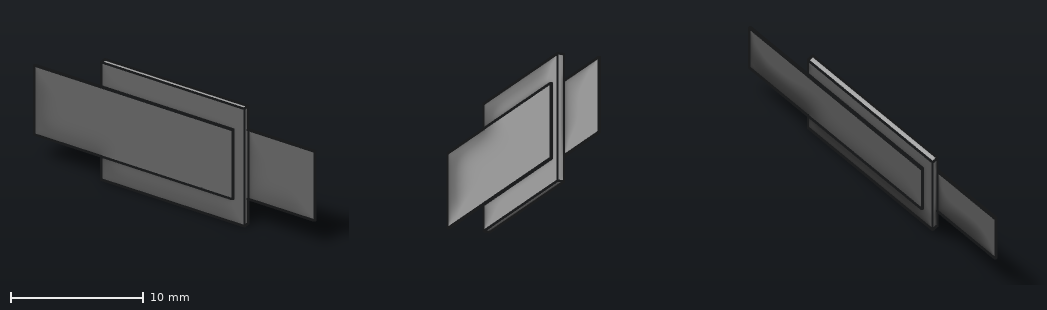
import cadquery as cq

total_length = 25.0
total_thickness = 0.8

plate_length = 13.0
plate_height = 10.2

strip_length = 18.0
strip_height = 6.0
strip_thickness = 0.12

plate_thickness = total_thickness - 2 * strip_thickness
strip_offset_x = (total_length - strip_length) / 2
strip_offset_y = (plate_thickness + strip_thickness) / 2


def terminal_strip(side):
    """Strip on the +Y (side=1) or -Y (side=-1) face, overhanging the plate's same-signed X end."""
    strip = cq.Workplane("XY").box(strip_length, strip_thickness, strip_height)
    return strip.translate((side * strip_offset_x, side * strip_offset_y, 0))


result = cq.Workplane("XY").box(plate_length, plate_thickness, plate_height)
for side in (-1, 1):
    result = result.union(terminal_strip(side))